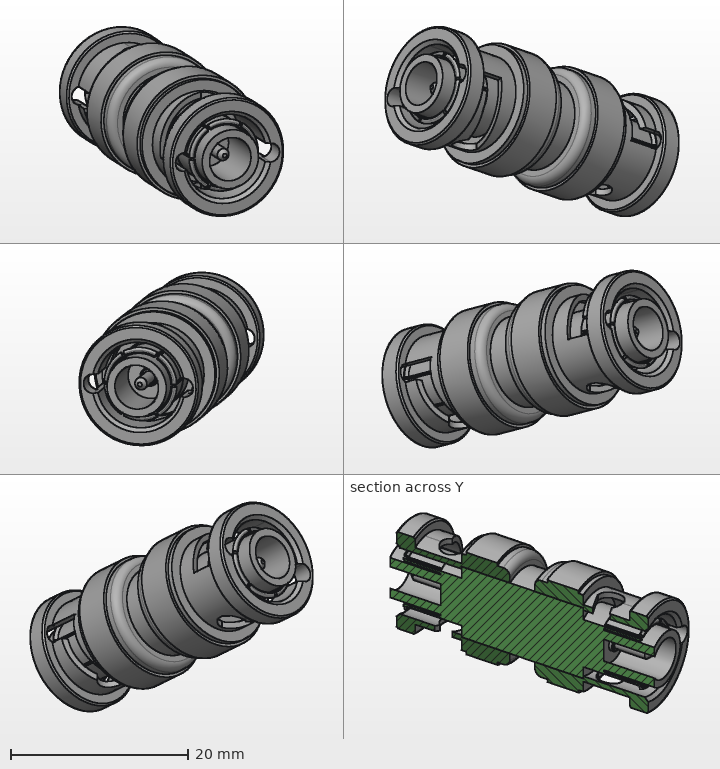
import cadquery as cq
import math


HALF_LENGTH = 17.5
NECK_RADIUS = 5.25
TIP_RADIUS = 3.43
TIP_BORE_RADIUS = 2.52
COLLET_RADIUS = 3.85
FINGER_RADIUS = 3.8
FINGER_BORE_RADIUS = 3.55
FINGER_ROOT = 10.8
FINGER_COUNT = 6
SLOT_WIDTH = 0.3
FLARE_RADIUS = 4.2
FLARE_TIP = 15.8
FLARE_ROUND = 0.28
FLARE_CREST = FLARE_TIP - FLARE_ROUND
FLARE_BACK = FLARE_CREST - FLARE_ROUND
FLARE_MOUTH_CHAMFER = 0.18

PIN_RADIUS = 0.7
PIN_POINT_RADIUS = 0.25
PIN_POINT = 15.85
PIN_TAPER = 0.52
PIN_BASE_RADIUS = 1.05
PIN_BASE_CHAMFER = 0.122
PIN_BASE_HEIGHT = 0.52

SLEEVE_RADIUS = 5.65
SLEEVE_BORE_RADIUS = 4.9
MOUTH_CHAMFER = 0.45
FLANGE_RADIUS = 6.9
RING_FACE = 16.65
RING_BACK = 14.18
RING_CHAMFER = 0.2
COLLAR_FACE = 8.1
COLLAR_FILLET = 0.95
COLLAR_BACK = 1.6
GRIP_RADIUS = 7.25
GRIP_FACE = 7.45
GRIP_BACK = 3.3

TRACK_HALF_WIDTH = 1.1
ENTRY_RADIUS = 5.25
LATCH_RADIUS = 1.6
LATCH_CENTER = 10.4
RAMP_ANGLE = 16.0

NECK_END = COLLAR_FACE
ALONG_X = ((0, 0, 0), (1, 0, 0))


def turned(points):
    """Revolve a closed (x, radius) outline about the X axis."""
    return cq.Workplane("XZ").polyline(points).close().revolve(360, *ALONG_X)


def opposite_end(body):
    """The same shape at the +X end."""
    return body.rotate((0, 0, 0), (0, 0, 1), 180)


def pin():
    """Pointed contact pin standing on a stepped base on the bore floor."""
    base_face = FINGER_ROOT + PIN_BASE_HEIGHT
    return turned([
        (-FINGER_ROOT, 0),
        (-FINGER_ROOT, PIN_BASE_RADIUS),
        (-base_face + PIN_BASE_CHAMFER, PIN_BASE_RADIUS),
        (-base_face, PIN_BASE_RADIUS - PIN_BASE_CHAMFER),
        (-base_face, PIN_RADIUS),
        (-PIN_POINT + PIN_TAPER, PIN_RADIUS),
        (-PIN_POINT, PIN_POINT_RADIUS),
        (-PIN_POINT, 0),
    ])


def finger_slots():
    """Radial slots that divide the ring around the tip tube into fingers."""
    length = FLARE_TIP - FINGER_ROOT
    slot = cq.Workplane("XY").box(
        length, FLARE_RADIUS - TIP_RADIUS, SLOT_WIDTH, centered=(False, False, True)
    ).translate((-FLARE_TIP, TIP_RADIUS, 0))
    slots = cq.Workplane("XY")
    for i in range(FINGER_COUNT):
        slots = slots.add(slot.rotate(*ALONG_X, i * 360 / FINGER_COUNT))
    return slots.combine()


def fingers():
    """Ring of spring fingers with flared, rounded tips, standing clear of the tip tube."""
    ring = (
        cq.Workplane("XZ")
        .moveTo(-FINGER_ROOT, FINGER_BORE_RADIUS)
        .lineTo(-FINGER_ROOT, FINGER_RADIUS)
        .lineTo(-FLARE_BACK, FINGER_RADIUS)
        .lineTo(-FLARE_CREST, FLARE_RADIUS)
        .radiusArc((-FLARE_TIP, FLARE_RADIUS - FLARE_ROUND), -FLARE_ROUND)
        .lineTo(-FLARE_TIP, FINGER_BORE_RADIUS + FLARE_MOUTH_CHAMFER)
        .lineTo(-FLARE_TIP + FLARE_MOUTH_CHAMFER, FINGER_BORE_RADIUS)
        .close()
        .revolve(360, *ALONG_X)
    )
    return ring.cut(finger_slots())


def core_half():
    """Neck, collet fingers, tip tube and pin of one end."""
    body = turned([
        (0, 0),
        (0, NECK_RADIUS),
        (-NECK_END, NECK_RADIUS),
        (-NECK_END, COLLET_RADIUS),
        (-FINGER_ROOT, COLLET_RADIUS),
        (-FINGER_ROOT, TIP_RADIUS),
        (-HALF_LENGTH, TIP_RADIUS),
        (-HALF_LENGTH, TIP_BORE_RADIUS),
        (-FINGER_ROOT, TIP_BORE_RADIUS),
        (-FINGER_ROOT, 0),
    ])
    return body.union(fingers()).union(pin())


def make_core():
    """Whole core, both ends joined at the middle of the neck."""
    half = core_half()
    return half.union(opposite_end(half))


def sleeve_blank():
    """Turned sleeve: ring at the mouth, thin bayonet wall, and a collar with a raised grip."""
    blank = (
        cq.Workplane("XZ")
        .moveTo(-RING_FACE, SLEEVE_BORE_RADIUS + MOUTH_CHAMFER)
        .lineTo(-RING_FACE, FLANGE_RADIUS - RING_CHAMFER)
        .lineTo(-RING_FACE + RING_CHAMFER, FLANGE_RADIUS)
        .lineTo(-RING_BACK - RING_CHAMFER, FLANGE_RADIUS)
        .lineTo(-RING_BACK, FLANGE_RADIUS - RING_CHAMFER)
        .lineTo(-RING_BACK, SLEEVE_RADIUS)
        .lineTo(-COLLAR_FACE, SLEEVE_RADIUS)
        .lineTo(-COLLAR_FACE, FLANGE_RADIUS)
        .lineTo(-GRIP_FACE, FLANGE_RADIUS)
        .lineTo(-GRIP_FACE, GRIP_RADIUS)
        .lineTo(-GRIP_BACK, GRIP_RADIUS)
        .lineTo(-GRIP_BACK, FLANGE_RADIUS)
        .lineTo(-COLLAR_BACK - COLLAR_FILLET, FLANGE_RADIUS)
        .radiusArc((-COLLAR_BACK, FLANGE_RADIUS - COLLAR_FILLET), COLLAR_FILLET)
        .lineTo(-COLLAR_BACK, NECK_RADIUS)
        .lineTo(-NECK_END, NECK_RADIUS)
        .lineTo(-NECK_END, SLEEVE_BORE_RADIUS)
        .lineTo(-RING_FACE + MOUTH_CHAMFER, SLEEVE_BORE_RADIUS)
        .close()
    )
    return blank.revolve(360, *ALONG_X)


def bayonet_track():
    """One track: rounded groove through the ring, entry slot, slanted ramp and latch hole."""
    slope = math.tan(math.radians(RAMP_ANGLE))
    slant_half_width = TRACK_HALF_WIDTH / math.cos(math.radians(RAMP_ANGLE))
    ramp_foot = -LATCH_CENTER + LATCH_RADIUS / math.cos(math.radians(RAMP_ANGLE))
    near_foot = ramp_foot - 2 * slant_half_width
    reach = slope * FLANGE_RADIUS

    groove = (
        cq.Workplane("YZ", origin=(-RING_FACE, 0, 0))
        .moveTo(0, -TRACK_HALF_WIDTH)
        .lineTo(ENTRY_RADIUS, -TRACK_HALF_WIDTH)
        .threePointArc((ENTRY_RADIUS + TRACK_HALF_WIDTH, 0), (ENTRY_RADIUS, TRACK_HALF_WIDTH))
        .lineTo(0, TRACK_HALF_WIDTH)
        .close()
        .extrude(RING_FACE - RING_BACK)
    )
    entry = (
        cq.Workplane("XY", origin=(0, 0, -TRACK_HALF_WIDTH))
        .polyline([
            (-RING_BACK, 0),
            (ramp_foot, 0),
            (ramp_foot - slope * SLEEVE_RADIUS, SLEEVE_RADIUS),
            (-RING_BACK, SLEEVE_RADIUS),
        ])
        .close()
        .extrude(2 * TRACK_HALF_WIDTH)
    )
    ramp = (
        cq.Workplane("XY")
        .polyline([
            (near_foot, 0),
            (ramp_foot, 0),
            (ramp_foot - reach, FLANGE_RADIUS),
            (near_foot - reach, FLANGE_RADIUS),
        ])
        .close()
        .extrude(SLEEVE_RADIUS)
    )
    latch = cq.Workplane("XY").center(-LATCH_CENTER, 0).circle(LATCH_RADIUS).extrude(SLEEVE_RADIUS)
    return groove.union(entry).union(ramp).union(latch)


def make_sleeve():
    """Coupling sleeve with two bayonet tracks on opposite sides."""
    track = bayonet_track()
    opposite_track = track.rotate(*ALONG_X, 180)
    return sleeve_blank().cut(track).cut(opposite_track)


core = make_core()
left_sleeve = make_sleeve()
right_sleeve = opposite_end(left_sleeve)

result = cq.Compound.makeCompound([core.val(), left_sleeve.val(), right_sleeve.val()])